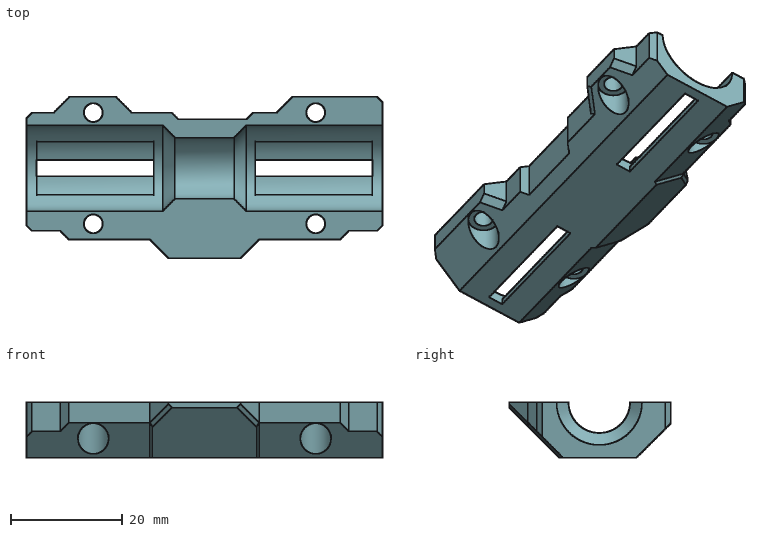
import cadquery as cq
import math

length = 64.0
height = 10.0
half_length = length / 2
corner_chamfer = 1.0

back_edge = 10.0
back_lobe_edge = 12.85
back_waist_edge = 8.8
front_edge = 11.25
front_lobe_edge = 12.8
front_boss_edge = 16.2

left_lobe_start = -24.2
left_lobe_end = -15.95
waist_start = -4.75
waist_end = 7.55
right_lobe_start = 15.8
front_lobe_half_length = 24.4
boss_half_length = 6.45

back_step = back_lobe_edge - back_edge
waist_step = back_edge - back_waist_edge
front_step = front_lobe_edge - front_edge
boss_step = front_boss_edge - front_lobe_edge

front_reach = 16.5
back_reach = 16.65
boss_reach = 17.15
boss_bevel = 0.5
back_lobe_bevel = 1.0

seat_radius = 7.7
middle_radius = 5.5
middle_half_length = 5.3

window_center = 19.65
window_length = 21.0
window_width = 9.5
window_radius = 8.8
slot_width = 2.9

screw_x = 20.0
screw_y = 10.0
screw_diameter = 3.3
head_diameter = 5.5
head_seat_depth = front_reach - front_lobe_edge


def extrude_down(plan):
    """Prism from the split plane down to the floor."""
    return cq.Workplane("XY").polyline(plan).close().extrude(-height)


def trim_to_flanks(solid, front, back):
    """Keep what lies above the two 45 degree flanks with the given reaches."""
    section = [
        (-front, 0),
        (back, 0),
        (back - height, -height),
        (height - front, -height),
    ]
    envelope = cq.Workplane("YZ").polyline(section).close().extrude(length, both=True)
    return solid.intersect(envelope)


def flank_side_edges(solid, side):
    """Sloping edges of the flank face; side is 1 at the back, -1 in front."""
    flank = cq.DirectionMinMaxSelector(cq.Vector(0, side, -1))
    return solid.faces(flank).edges("not |X")


def make_core():
    """Long body with the waist at the back and the shallow lobes in front."""
    back_points = [
        (-half_length, back_edge - corner_chamfer),
        (-half_length + corner_chamfer, back_edge),
        (waist_start - waist_step, back_edge),
        (waist_start, back_waist_edge),
        (waist_end, back_waist_edge),
        (waist_end + waist_step, back_edge),
        (half_length, back_edge),
    ]
    front_right = [
        (half_length, -front_edge + corner_chamfer),
        (half_length - corner_chamfer, -front_edge),
        (front_lobe_half_length + front_step, -front_edge),
        (front_lobe_half_length, -front_lobe_edge),
    ]
    front_left = [(-x, y) for x, y in reversed(front_right)]
    core = extrude_down(back_points + front_right + front_left)
    return trim_to_flanks(core, front_reach, back_reach)


def make_front_boss():
    """Middle boss whose flank stands proud of the core, with beveled sides."""
    foot = boss_half_length + boss_step
    plan = [
        (-foot, 0),
        (-foot, -front_lobe_edge),
        (-boss_half_length, -front_boss_edge),
        (boss_half_length, -front_boss_edge),
        (foot, -front_lobe_edge),
        (foot, 0),
    ]
    boss = trim_to_flanks(extrude_down(plan), boss_reach, back_reach)
    return flank_side_edges(boss, -1).chamfer(boss_bevel)


def make_left_back_lobe():
    """Screw lobe with a shoulder at both ends, beveled along the flank."""
    plan = [
        (left_lobe_start - back_step, back_edge),
        (left_lobe_start, back_lobe_edge),
        (left_lobe_end, back_lobe_edge),
        (left_lobe_end + back_step, back_edge),
    ]
    lobe = trim_to_flanks(extrude_down(plan), front_reach, back_reach)
    return flank_side_edges(lobe, 1).chamfer(back_lobe_bevel)


def make_right_back_lobe():
    """Screw lobe that runs to the end of the body; only its shoulder is beveled."""
    plan = [
        (right_lobe_start - back_step, back_edge),
        (right_lobe_start, back_lobe_edge),
        (half_length - corner_chamfer, back_lobe_edge),
        (half_length, back_lobe_edge - corner_chamfer),
        (half_length, back_edge),
    ]
    lobe = trim_to_flanks(extrude_down(plan), front_reach, back_reach)
    return flank_side_edges(lobe, 1).edges("<X").chamfer(back_lobe_bevel)


def make_bore():
    """Solid of revolution about X: seat, cone, middle, cone, seat."""
    cone_end = middle_half_length + seat_radius - middle_radius
    profile = [
        (-half_length, 0),
        (-half_length, seat_radius),
        (-cone_end, seat_radius),
        (-middle_half_length, middle_radius),
        (middle_half_length, middle_radius),
        (cone_end, seat_radius),
        (half_length, seat_radius),
        (half_length, 0),
    ]
    return cq.Workplane("XY").polyline(profile).close().revolve(360, (0, 0), (1, 0))


def make_window(center_x):
    """Shallow recess in the seat with radial long walls, and a slot through the floor below it."""
    half_angle = math.asin(window_width / 2 / seat_radius)
    wedge_depth = 2 * height
    wedge_half_width = wedge_depth * math.tan(half_angle)
    wedge = (
        cq.Workplane("YZ")
        .polyline([(0, 0), (wedge_half_width, -wedge_depth), (-wedge_half_width, -wedge_depth)])
        .close()
        .extrude(window_length / 2, both=True)
    )
    cylinder = cq.Workplane("YZ").circle(window_radius).extrude(window_length / 2, both=True)
    slot = cq.Workplane("XY").box(window_length, slot_width, 2 * height)
    return cylinder.intersect(wedge).union(slot).translate((center_x, 0, 0))


def make_screw_holes():
    """Four through holes with screw head recesses entering from below."""
    places = [(x, y) for x in (-screw_x, screw_x) for y in (-screw_y, screw_y)]
    shanks = cq.Workplane("XY").pushPoints(places).circle(screw_diameter / 2).extrude(-height)
    heads = (
        cq.Workplane("XY", origin=(0, 0, -head_seat_depth))
        .pushPoints(places)
        .circle(head_diameter / 2)
        .extrude(head_seat_depth - height)
    )
    return shanks.union(heads)


result = make_core().union(make_front_boss())
result = result.union(make_left_back_lobe()).union(make_right_back_lobe())
result = result.cut(make_bore()).cut(make_screw_holes())
for side in (-1, 1):
    result = result.cut(make_window(side * window_center))